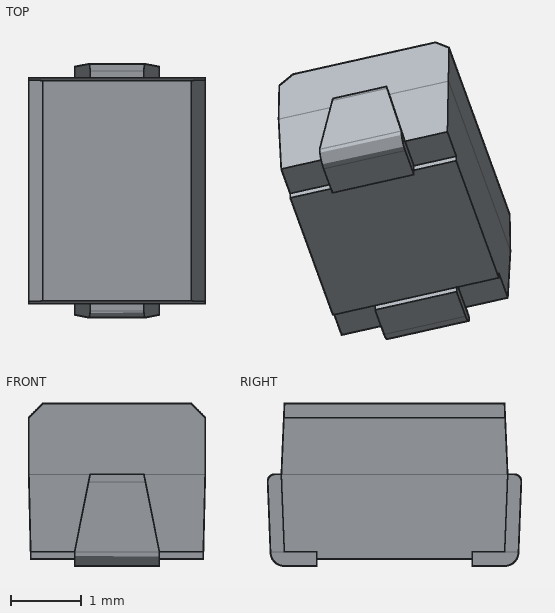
import cadquery as cq
import math

overall_length = 3.59
overall_height = 2.3

housing_width = 2.5
housing_length = 3.202
parting_z = 1.3
side_draft_inset = 0.03
end_draft_inset = 0.043
top_chamfer = 0.2
pedestal_drop = 0.1

foot_thickness = 0.2
foot_width = 1.2
arm_top_width = 0.76
foot_gap = 2.197
shoulder_radius = 0.1
heel_radius = foot_thickness

underside_z = foot_thickness
pedestal_z = underside_z - pedestal_drop
half_width = housing_width / 2
half_length = housing_length / 2
end_underside_y = half_length - end_draft_inset
draft_angle = math.atan2(end_draft_inset, parting_z - underside_z)

arm_top_y = (
    overall_length / 2
    - shoulder_radius
    + shoulder_radius / math.cos(draft_angle)
    + shoulder_radius * math.tan(draft_angle)
)
heel_y = arm_top_y - end_draft_inset


def extrude_along_x(outline, width):
    """Extrude a closed (y, z) outline symmetrically about X = 0."""
    return cq.Workplane("YZ").polyline(outline).close().extrude(width / 2, both=True)


def extrude_along_y(outline, length):
    """Extrude a closed (x, z) outline symmetrically about Y = 0."""
    return cq.Workplane("XZ").polyline(outline).close().extrude(length / 2, both=True)


def make_housing():
    """Drafted block with chamfered long top edges and a pedestal between the feet."""
    side_bottom_x = half_width - side_draft_inset
    chamfer_top_x = half_width - top_chamfer
    chamfer_base_z = overall_height - top_chamfer
    cross_section = extrude_along_y(
        [
            (-side_bottom_x, pedestal_z),
            (side_bottom_x, pedestal_z),
            (half_width, parting_z),
            (half_width, chamfer_base_z),
            (chamfer_top_x, overall_height),
            (-chamfer_top_x, overall_height),
            (-half_width, chamfer_base_z),
            (-half_width, parting_z),
        ],
        housing_length,
    )
    side_profile = extrude_along_x(
        [
            (-foot_gap / 2, pedestal_z),
            (foot_gap / 2, pedestal_z),
            (foot_gap / 2, underside_z),
            (end_underside_y, underside_z),
            (half_length, parting_z),
            (end_underside_y, overall_height),
            (-end_underside_y, overall_height),
            (-half_length, parting_z),
            (-end_underside_y, underside_z),
            (-foot_gap / 2, underside_z),
        ],
        housing_width,
    )
    return cross_section.intersect(side_profile)


def make_arm():
    """Tapered arm lying against the +Y end face, rounded along its outer top edge."""
    slab = extrude_along_x(
        [
            (end_underside_y, underside_z),
            (heel_y, underside_z),
            (arm_top_y, parting_z),
            (half_length, parting_z),
        ],
        foot_width,
    )
    rounded_slab = slab.faces(">Z").edges(">Y").fillet(shoulder_radius)
    taper = extrude_along_y(
        [
            (-foot_width / 2, underside_z),
            (foot_width / 2, underside_z),
            (arm_top_width / 2, parting_z),
            (-arm_top_width / 2, parting_z),
        ],
        overall_length + foot_thickness,
    )
    return rounded_slab.intersect(taper)


def make_foot():
    """Flat foot under the housing with a quarter-round heel at its outer end."""
    heel_start_y = heel_y - heel_radius
    heel_mid = heel_radius * math.sqrt(0.5)
    return (
        cq.Workplane("YZ")
        .moveTo(foot_gap / 2, 0)
        .lineTo(heel_start_y, 0)
        .threePointArc((heel_start_y + heel_mid, heel_radius - heel_mid), (heel_y, foot_thickness))
        .lineTo(foot_gap / 2, foot_thickness)
        .close()
        .extrude(foot_width / 2, both=True)
    )


def make_lead(turn):
    """One bent lead, turned about Z from the +Y end to its own end."""
    lead = make_arm().union(make_foot())
    return lead.rotate((0, 0, 0), (0, 0, 1), turn)


housing = make_housing()
leads = [make_lead(turn) for turn in (0, 180)]

result = cq.Compound.makeCompound([housing.solids().val(), *[lead.solids().val() for lead in leads]])